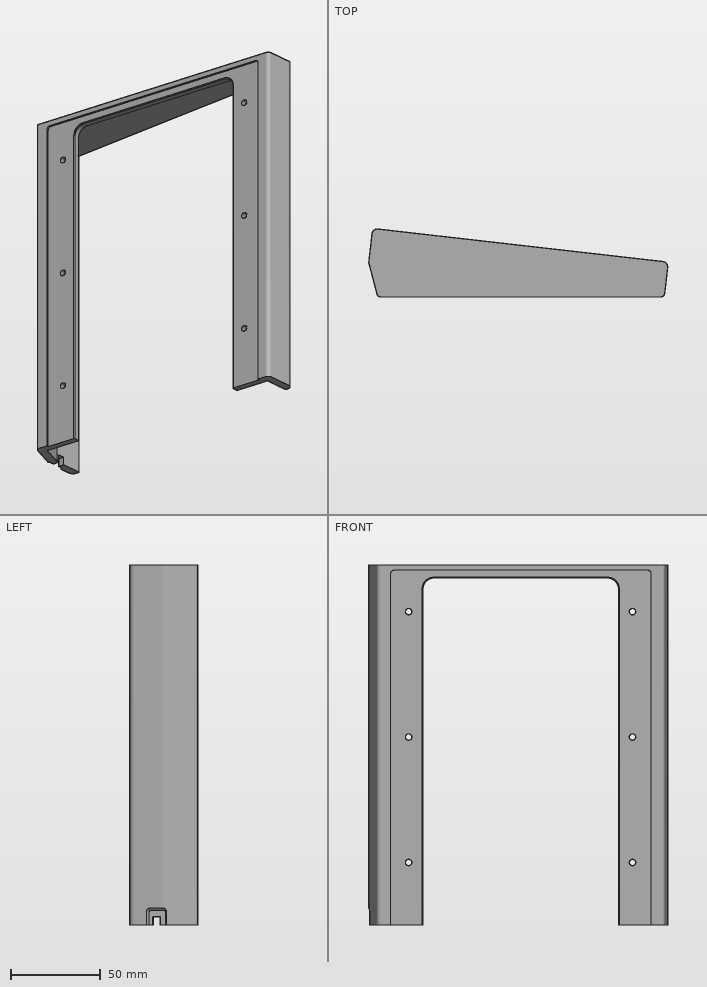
import cadquery as cq
import math

width = 166.8
depth = 38.0
height = 201.0
wall = 5.0
tilt = math.radians(6.5)
ridge_y = 19.3
front_left_x = 5.0
back_round = 3.12
front_round = 2.5
ridge_round = 2.0

recess_depth = 1.2
recess_left = 12.3
recess_right = 157.5
recess_top_margin = 3.0
recess_corner = 2.0
opening_left = 30.4
opening_right = 139.3
opening_top_margin = 7.5
opening_corner = 6.0
opening_edge_chamfer = 0.5
hole_diameter = 3.5
hole_columns = (22.3, 147.1)
hole_first_z = 35.0
hole_pitch = 70.0
hole_rows = 3

pocket_center_y = 22.7
slot_center_y = 23.3
pocket_width = 12.0
pocket_height = 9.6
pocket_depth = 1.5
pocket_taper = 45
pocket_corner = 2.5
slot_width = 4.2
slot_height = 4.6

overshoot = 10.0


def plan_corners(extra_back=0.0):
    """Sharp corners of the plan outline; extra_back pushes the back plane outward."""
    corner_excess = back_round * (math.sin(tilt) + math.cos(tilt) - 1)
    back_left_y = depth + corner_excess
    back_left_x = (back_left_y - ridge_y) * math.tan(tilt)
    back_right_x = width + corner_excess
    back_right_y = back_left_y - (back_right_x - back_left_x) * math.tan(tilt)
    front_right_x = back_right_x - back_right_y * math.tan(tilt)
    shift_x = extra_back * math.sin(tilt)
    shift_y = extra_back * math.cos(tilt)
    return [
        (front_left_x, 0),
        (front_right_x, 0),
        (back_right_x + shift_x, back_right_y + shift_y),
        (back_left_x + shift_x, back_left_y + shift_y),
        (0, ridge_y),
    ]


def round_upright_edge(body, corner, radius):
    nearest = cq.selectors.NearestToPointSelector((corner[0], corner[1], height / 2))
    return body.edges("|Z").edges(nearest).fillet(radius)


def make_shell():
    corners = plan_corners()
    front_left, front_right, back_right, back_left, ridge = corners
    body = cq.Workplane("XY").polyline(corners).close().extrude(height)
    for corner in (back_left, back_right):
        body = round_upright_edge(body, corner, back_round)
    for corner in (front_left, front_right):
        body = round_upright_edge(body, corner, front_round)
    body = round_upright_edge(body, ridge, ridge_round)
    cavity = (
        cq.Workplane("XY")
        .polyline(plan_corners(wall + overshoot))
        .close()
        .offset2D(-wall, "intersection")
        .extrude(height - wall)
    )
    return body.cut(cavity)


def front_cutter(left, right, top_margin, corner_radius, cut_depth):
    """Block through the foot of the front face with rounded upper corners."""
    top = height - top_margin
    return (
        cq.Workplane("XY")
        .box(right - left, cut_depth + overshoot, top + overshoot, centered=False)
        .translate((left, -overshoot, -overshoot))
        .edges("|Y and >Z")
        .fillet(corner_radius)
    )


def cut_front(body):
    body = body.cut(front_cutter(recess_left, recess_right, recess_top_margin, recess_corner, recess_depth))
    body = body.cut(front_cutter(opening_left, opening_right, opening_top_margin, opening_corner, wall))
    hole_points = [(x, hole_first_z + row * hole_pitch) for x in hole_columns for row in range(hole_rows)]
    holes = cq.Workplane("XZ").pushPoints(hole_points).circle(hole_diameter / 2).extrude(-wall)
    return body.cut(holes)


def chamfer_opening(body):
    """Break the front edge of the opening."""
    slack = 0.2
    edge_box = cq.selectors.BoxSelector(
        (opening_left - slack, recess_depth - slack, -slack),
        (opening_right + slack, recess_depth + slack, height - opening_top_margin + slack),
        boundingbox=True,
    )
    return body.edges(edge_box).chamfer(opening_edge_chamfer)


def upper_left_plane(center_y):
    """Plane on the upper left face at foot level: local x runs back, the normal points into the wall."""
    return cq.Plane(
        origin=((center_y - ridge_y) * math.tan(tilt), center_y, 0),
        xDir=(math.sin(tilt), math.cos(tilt), 0),
        normal=(math.cos(tilt), -math.sin(tilt), 0),
    )


def cut_cable_exit(body):
    """Tapered pocket in the upper left face with a slot through the wall behind it."""
    outline = cq.Sketch().rect(pocket_width, 2 * pocket_height).vertices().fillet(pocket_corner)
    pocket = (
        cq.Workplane(upper_left_plane(pocket_center_y))
        .placeSketch(outline)
        .extrude(pocket_depth, taper=pocket_taper)
    )
    slot = (
        cq.Workplane(upper_left_plane(slot_center_y))
        .rect(slot_width, 2 * slot_height)
        .extrude(2 * wall)
    )
    return body.cut(pocket).cut(slot)


result = cut_cable_exit(chamfer_opening(cut_front(make_shell())))